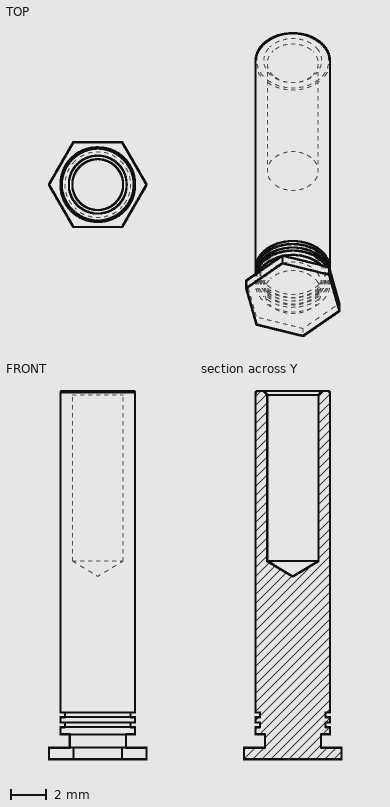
import cadquery as cq
import math

TOTAL_LENGTH = 20.64
BARREL_DIAMETER = 4.19
TIP_CHAMFER = 0.08

HEAD_SIDES = 6
HEAD_ACROSS_FLATS = 4.75
HEAD_THICKNESS = 0.66
HEAD_ACROSS_CORNERS = HEAD_ACROSS_FLATS / math.cos(math.pi / HEAD_SIDES)

NECK_DIAMETER = 3.17
NECK_LENGTH = 0.74
BARREL_BASE = HEAD_THICKNESS + NECK_LENGTH

GROOVE_COUNT = 2
GROOVE_DIAMETER = 3.68
GROOVE_WIDTH = 0.25
GROOVE_PITCH = 0.56
FIRST_GROOVE_OFFSET = 0.4
FIRST_GROOVE_BASE = BARREL_BASE + FIRST_GROOVE_OFFSET

HOLE_DIAMETER = 2.85
HOLE_DEPTH = 9.53
DRILL_POINT_ANGLE = 118
COUNTERSINK_DIAMETER = 3.25
COUNTERSINK_ANGLE = 82


def make_head():
    return cq.Workplane("XY").polygon(HEAD_SIDES, HEAD_ACROSS_CORNERS).extrude(HEAD_THICKNESS)


def make_neck():
    return cq.Workplane("XY").circle(NECK_DIAMETER / 2).extrude(BARREL_BASE)


def make_barrel():
    barrel = (
        cq.Workplane("XY")
        .workplane(offset=BARREL_BASE)
        .circle(BARREL_DIAMETER / 2)
        .extrude(TOTAL_LENGTH - BARREL_BASE)
    )
    return barrel.faces(">Z").edges().chamfer(TIP_CHAMFER)


def make_groove(base):
    return (
        cq.Workplane("XY")
        .workplane(offset=base)
        .circle(BARREL_DIAMETER / 2)
        .circle(GROOVE_DIAMETER / 2)
        .extrude(GROOVE_WIDTH)
    )


def make_hole():
    """Half profile of the hole in the XZ plane, turned about the Z axis."""
    hole_radius = HOLE_DIAMETER / 2
    mouth_radius = COUNTERSINK_DIAMETER / 2
    sink_depth = (mouth_radius - hole_radius) / math.tan(math.radians(COUNTERSINK_ANGLE / 2))
    point_depth = hole_radius / math.tan(math.radians(DRILL_POINT_ANGLE / 2))
    shoulder = TOTAL_LENGTH - HOLE_DEPTH
    return (
        cq.Workplane("XZ")
        .moveTo(0, shoulder - point_depth)
        .lineTo(hole_radius, shoulder)
        .lineTo(hole_radius, TOTAL_LENGTH - sink_depth)
        .lineTo(mouth_radius, TOTAL_LENGTH)
        .lineTo(0, TOTAL_LENGTH)
        .close()
        .revolve(360, (0, 0, 0), (0, 1, 0))
    )


result = make_head().union(make_neck()).union(make_barrel())
for index in range(GROOVE_COUNT):
    result = result.cut(make_groove(FIRST_GROOVE_BASE + index * GROOVE_PITCH))
result = result.cut(make_hole())